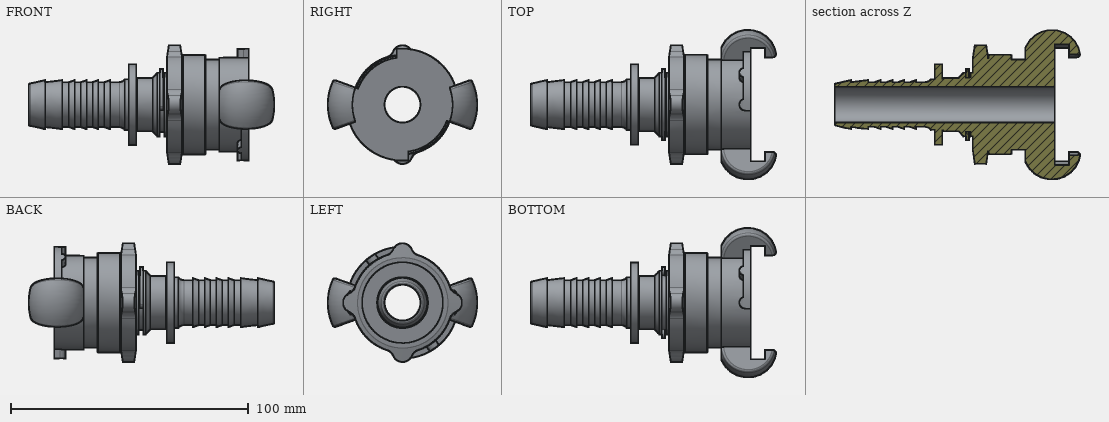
import cadquery as cq
import math


bore_diameter = 15.0
tail_diameter = 19.0
tail_radius = tail_diameter / 2
tip_radius = 9.0
tip_fillet = 0.7
barb_diameter = 20.8
barb_radius = barb_diameter / 2
front_barb_end = 6.9
rear_barb_end = 14.1
ridge_count = 4
ridge_length = 2.5
ridge_pitch = 2 * ridge_length
first_ridge_start = 16.9
tail_end = 38.0
neck_start = 40.5
neck_diameter = 21.5
flare_radius = 3.1

flange_start = 42.0
flange_end = 45.2
flange_diameter = 34.0
relief_width = 0.3
relief_diameter = 21.8
shank_diameter = 22.5
cone_start = 52.0
shoulder_start = 54.1
shoulder_diameter = 26.8

groove_start = 55.1
groove_end = 57.0
groove_diameter = 23.0
ring_width = 1.3
ring_diameter = 30.0
ring_end_angle = 2.6

nut_start = 57.9
nut_end = 64.6
nut_radius = 21.1
nut_tip_radius = 25.0
nut_face_radius = 19.0
nut_face_drop = 0.9
lobe_count = 4
lobe_radius = 4.2

collar_end = 74.3
collar_diameter = 41.9
collar_chamfer = 0.3
waist_diameter = 38.0
head_start = 80.0
head_end = 92.5
head_radius = 19.8

lug_start = 89.3
lug_radius = 23.5
stud_radius = 2.5
stud_axis_x = 90.1
stud_angles = (55, 90)
lug_root_radius = 17.5

claw_half_angle = 20
claw_axis_x = 91.3
claw_axis_y = 19.4
claw_radius = 12.1
claw_crown_radius = 22.7
claw_edge_fillet = 1.0
slot_end = 98.4
slot_depth_radius = 25.3
claw_tip_radius = 21.1

full_length = 103.2
beyond_tips = full_length + 1


def cylinder(start, end, radius):
    """Solid cylinder on the coupling axis."""
    return cq.Workplane("YZ").workplane(offset=start).circle(radius).extrude(end - start)


def half_turn(shape):
    """Copy turned half a turn about the coupling axis."""
    return shape.rotate((0, 0, 0), (1, 0, 0), 180)


def make_hose_tail():
    """Barbed tail, neck, safety flange and shank with the ring groove, without the bore."""
    profile = (
        cq.Workplane("XY")
        .moveTo(0, 0)
        .lineTo(0, tip_radius - tip_fillet)
        .radiusArc((tip_fillet, tip_radius), tip_fillet)
        .lineTo(front_barb_end, barb_radius)
        .lineTo(front_barb_end, tail_radius)
        .lineTo(rear_barb_end, barb_radius)
        .lineTo(rear_barb_end, tail_radius)
    )
    for index in range(ridge_count):
        ridge_start = first_ridge_start + index * ridge_pitch
        ridge_end = ridge_start + ridge_length
        profile = (
            profile.lineTo(ridge_start, tail_radius)
            .lineTo(ridge_end, barb_radius)
            .lineTo(ridge_end, tail_radius)
        )
    profile = (
        profile.lineTo(tail_end, tail_radius)
        .radiusArc((neck_start, neck_diameter / 2), -flare_radius)
        .lineTo(flange_start, neck_diameter / 2)
        .lineTo(flange_start, flange_diameter / 2)
        .lineTo(flange_end, flange_diameter / 2)
        .lineTo(flange_end, relief_diameter / 2)
        .lineTo(flange_end + relief_width, relief_diameter / 2)
        .lineTo(flange_end + relief_width, shank_diameter / 2)
        .lineTo(cone_start, shank_diameter / 2)
        .lineTo(shoulder_start, shoulder_diameter / 2)
        .lineTo(groove_start, shoulder_diameter / 2)
        .lineTo(groove_start, groove_diameter / 2)
        .lineTo(groove_end, groove_diameter / 2)
        .lineTo(groove_end, shoulder_diameter / 2)
        .lineTo(nut_start, shoulder_diameter / 2)
        .lineTo(nut_start, 0)
        .close()
    )
    return profile.revolve(360, (0, 0, 0), (1, 0, 0))


def make_nut():
    """Ring with four rounded lobes and conical outer faces."""
    length = nut_end - nut_start
    nut = cylinder(nut_start, nut_end, nut_radius)
    lobes = (
        cq.Workplane("YZ")
        .workplane(offset=nut_start)
        .polarArray(nut_tip_radius - lobe_radius, 0, 360, lobe_count)
        .circle(lobe_radius)
        .extrude(length)
    )
    corner_reach = nut_tip_radius * 2
    outer_edges = cq.selectors.BoxSelector(
        (nut_start + length / 4, -corner_reach, -corner_reach),
        (nut_end - length / 4, corner_reach, corner_reach),
    )
    nut = nut.union(lobes).edges("|X").edges(outer_edges).fillet(lobe_radius)
    envelope = (
        cq.Workplane("XY")
        .polyline([
            (nut_start, 0),
            (nut_start, nut_face_radius),
            (nut_start + nut_face_drop, nut_tip_radius),
            (nut_start + nut_face_drop, corner_reach),
            (nut_end - nut_face_drop, corner_reach),
            (nut_end - nut_face_drop, nut_tip_radius),
            (nut_end, nut_face_radius),
            (nut_end, 0),
        ])
        .close()
        .revolve(360, (0, 0, 0), (1, 0, 0))
    )
    return nut.intersect(envelope)


def make_head():
    """Collar, waist and cylindrical head."""
    collar = cylinder(nut_end, collar_end, collar_diameter / 2).edges().chamfer(collar_chamfer)
    waist = cylinder(collar_end, head_start, waist_diameter / 2)
    return collar.union(waist).union(cylinder(head_start, head_end, head_radius))


def sector(start, end, first_angle, last_angle):
    """Wedge about the coupling axis between two angles measured from +Y towards +Z."""
    reach = 2 * full_length
    corners = [
        (reach * math.cos(math.radians(angle)), reach * math.sin(math.radians(angle)))
        for angle in (first_angle, last_angle)
    ]
    return (
        cq.Workplane("YZ")
        .workplane(offset=start)
        .polyline([(0, 0), *corners])
        .close()
        .extrude(end - start)
    )


def make_lug():
    """Lug rim from the +Y claw over the top of the head, with two radial studs."""
    rim = sector(lug_start, head_end, 0, 90)
    end_block = cq.Workplane("XY").box(
        head_end - stud_axis_x, 2 * stud_radius, lug_radius, centered=(False, True, False)
    ).translate((stud_axis_x, 0, 0))
    lug = rim.union(end_block)
    for angle in stud_angles:
        stud = (
            cq.Workplane("XZ")
            .center(stud_axis_x, 0)
            .circle(stud_radius)
            .extrude(-2 * lug_radius)
            .rotate((0, 0, 0), (1, 0, 0), angle)
        )
        lug = lug.union(stud)
    rim_band = cylinder(head_start, head_end, lug_radius).cut(
        cylinder(head_start, head_end, lug_root_radius)
    )
    return lug.intersect(rim_band)


def make_claw():
    """Barrel-shaped +Y claw with radial side faces and a hooked tip."""
    half_height = claw_radius
    end_radius = claw_radius - claw_crown_radius + math.sqrt(claw_crown_radius**2 - half_height**2)
    barrel = (
        cq.Workplane("XZ")
        .moveTo(0, -half_height)
        .lineTo(end_radius, -half_height)
        .threePointArc((claw_radius, 0), (end_radius, half_height))
        .lineTo(0, half_height)
        .close()
        .revolve(360, (0, 0, 0), (0, 1, 0))
        .translate((claw_axis_x, claw_axis_y, 0))
    )
    wedge = sector(0, beyond_tips, -claw_half_angle, claw_half_angle)
    claw = barrel.intersect(wedge).cut(cylinder(0, beyond_tips, lug_root_radius))
    crown_edges = cq.selectors.BoxSelector(
        (head_start, lug_radius, -half_height), (beyond_tips, full_length, half_height)
    )
    claw = claw.edges(crown_edges).fillet(claw_edge_fillet)
    slot = cylinder(head_end, slot_end, slot_depth_radius)
    under_tip = cylinder(slot_end, beyond_tips, claw_tip_radius)
    behind_head = cylinder(0, head_start, full_length)
    return claw.cut(slot).cut(under_tip).cut(behind_head)


def make_coupling():
    """Hose tail, nut and claw head in one piece with a straight through bore."""
    coupling = make_hose_tail().union(make_nut()).union(make_head())
    lug = make_lug()
    claw = make_claw()
    for feature in (lug, claw):
        coupling = coupling.union(feature).union(half_turn(feature))
    return coupling.cut(cylinder(0, full_length, bore_diameter / 2))


def make_retaining_ring():
    """Open ring over the upper half of the groove, with fully rounded ends."""
    inner_radius = groove_diameter / 2
    outer_radius = ring_diameter / 2
    end_radius = (outer_radius - inner_radius) / 2
    low = -math.radians(ring_end_angle)

    def right_point(radius):
        return (radius * math.cos(low), radius * math.sin(low))

    def left_point(radius):
        return (-radius * math.cos(low), radius * math.sin(low))

    return (
        cq.Workplane("YZ")
        .workplane(offset=groove_start)
        .moveTo(*right_point(outer_radius))
        .threePointArc((0, outer_radius), left_point(outer_radius))
        .radiusArc(left_point(inner_radius), -end_radius)
        .threePointArc((0, inner_radius), right_point(inner_radius))
        .radiusArc(right_point(outer_radius), -end_radius)
        .close()
        .extrude(ring_width)
    )


coupling = make_coupling()
retaining_ring = make_retaining_ring()

result = cq.Compound.makeCompound([coupling.val(), retaining_ring.val()])